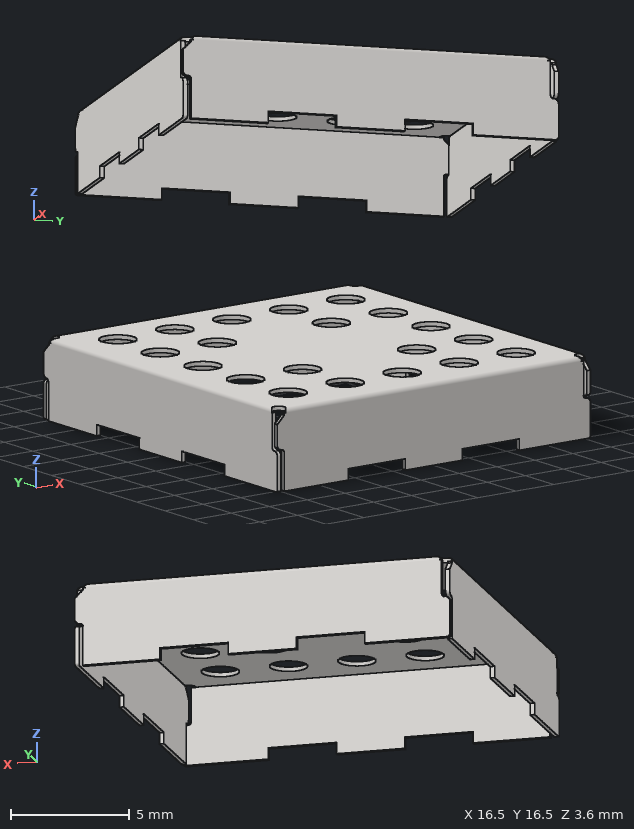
import cadquery as cq

side = 16.5
height = 3.6
half = side / 2

sheet = 0.2
bend_radius = sheet

corner_gap = 0.16
wall_setback = sheet + corner_gap
upper_tongue_bottom = 1.83
lower_tongue_top = 1.77
corner_bevel = 0.65
tongue_tip_radius = 0.2
inner_corner_radius = 0.15
bottom_corner_radius = 0.12

relief_radius = 0.3
relief_inset = 0.26

hole_pitch = 3.0
hole_diameter = 1.6
holes_per_side = 5

notch_width = hole_pitch
notch_height = 0.5
notch_offset = hole_pitch

quarter_turns = [0, 90, 180, 270]


def can_body():
    """Five-sided box, open below, with a rounded bend around the lid."""
    outer = cq.Workplane("XY").box(side, side, height, centered=(True, True, False))
    outer = outer.faces(">Z").edges().fillet(bend_radius)
    inner_side = side - 2 * sheet
    cavity = cq.Workplane("XY").box(inner_side, inner_side, height - sheet, centered=(True, True, False))
    return outer.cut(cavity)


def round_edge(plate, x, z, radius):
    """Round the edge through the thickness of the -Y wall at (x, z)."""
    nearest = cq.selectors.NearestToPointSelector((x, -half + sheet / 2, z))
    return plate.edges("|Y").edges(nearest).fillet(radius)


def wall_zone():
    """Outline of the -Y wall as a flat plate that interlocks with its neighbours."""
    left_neck = -half + wall_setback
    right_neck = half - wall_setback
    plate = (
        cq.Workplane("XZ", origin=(0, -half + sheet, 0))
        .moveTo(left_neck, 0)
        .lineTo(half, 0)
        .lineTo(half, lower_tongue_top)
        .lineTo(right_neck, lower_tongue_top)
        .lineTo(right_neck, height)
        .lineTo(left_neck, height)
        .lineTo(left_neck, height - corner_bevel + wall_setback)
        .lineTo(-half, height - corner_bevel)
        .lineTo(-half, upper_tongue_bottom)
        .lineTo(left_neck, upper_tongue_bottom)
        .close()
        .extrude(sheet)
    )
    plate = round_edge(plate, half, lower_tongue_top, tongue_tip_radius)
    plate = round_edge(plate, -half, upper_tongue_bottom, tongue_tip_radius)
    plate = round_edge(plate, right_neck, lower_tongue_top, inner_corner_radius)
    plate = round_edge(plate, left_neck, upper_tongue_bottom, inner_corner_radius)
    plate = round_edge(plate, half, 0, bottom_corner_radius)
    return plate


def bottom_notches():
    """The two clearance notches of the -Y wall."""
    return (
        cq.Workplane("XY")
        .pushPoints([(-notch_offset, -half), (notch_offset, -half)])
        .box(notch_width, 4 * sheet, 2 * notch_height)
    )


def vent_holes():
    """Square grid of holes without the plus-shaped group in the middle."""
    reach = holes_per_side // 2
    steps = range(-reach, reach + 1)
    spots = [
        (column * hole_pitch, row * hole_pitch)
        for column in steps
        for row in steps
        if abs(column) + abs(row) > 1
    ]
    return cq.Workplane("XY").pushPoints(spots).circle(hole_diameter / 2).extrude(2 * height)


def corner_reliefs():
    """Round openings at the four corners of the lid."""
    spacing = side - 2 * relief_inset
    return (
        cq.Workplane("XY", origin=(0, 0, height - bend_radius))
        .rect(spacing, spacing, forConstruction=True)
        .vertices()
        .circle(relief_radius)
        .extrude(2 * bend_radius)
    )


def sheet_zone():
    """Region kept from the body: the flat lid and four interlocking walls."""
    lid_side = side - 2 * sheet
    zone = cq.Workplane("XY", origin=(0, 0, height - sheet)).rect(lid_side, lid_side).extrude(sheet)
    wall = wall_zone().cut(bottom_notches())
    for angle in quarter_turns:
        zone = zone.union(wall.rotate((0, 0, 0), (0, 0, 1), angle))
    return zone


result = can_body().intersect(sheet_zone()).cut(vent_holes()).cut(corner_reliefs())